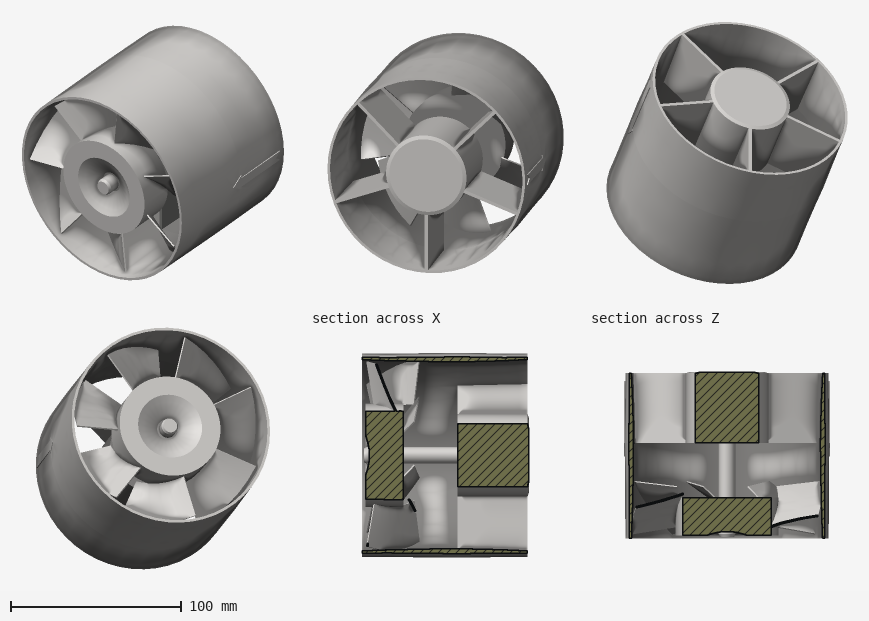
import cadquery as cq
import math


duct_length = 96.8
parting_depth = 55.9
duct_parting_radius = 59.8
duct_end_radius = 59.5
bore_parting_radius = 56.7
bore_end_radius = 57.9

hub_radius = 30.2
hub_front_depth = 1.9
hub_back_depth = 24.1
recess_radius = 19.1
recess_floor_radius = 6.1
recess_floor_depth = 9.4
shaft_radius = 4.9
shaft_tip_radius = 4.1
shaft_tip_depth = 1.1
shaft_chamfer_length = 1.6

motor_radius = 24.2
cap_radius = 22.0
cap_height = 0.7

blade_count = 7
blade_root_radius = 29.9
blade_tip_radius = 55.6
root_lead_angle = 82.0
root_trail_angle = 36.2
root_lead_depth = 6.6
root_trail_depth = 30.1
tip_lead_angle = 80.4
tip_trail_angle = 38.8
tip_lead_depth = 2.4
tip_trail_depth = 33.1
blade_camber = 0.15
blade_thickness = 0.8
blade_pitch = 45
blade_curve_segments = 6

strut_angles = (-90, -20, 45, 135, 200)
strut_thickness = 1.9
strut_overlap = 0.8
strut_root_radius = motor_radius - strut_overlap
strut_tip_radius = bore_end_radius + strut_overlap

arrow_radius = 60.2
arrow_head_length = 7.8
arrow_head_half_width = 4.9
arrow_tail_length = 36.5
arrow_tail_half_width = 3.0
arrow_notch_depth = 4.0
arrow_overlap = 0.5
arrow_base_radius = bore_end_radius + arrow_overlap


def revolve_about_y(points):
    """Revolve a closed (radius, depth) outline about the Y axis."""
    return cq.Workplane("XY").polyline(points).close().revolve(360, (0, 0, 0), (0, 1, 0))


def make_duct():
    return revolve_about_y([
        (bore_end_radius, 0),
        (duct_end_radius, 0),
        (duct_parting_radius, parting_depth),
        (duct_end_radius, duct_length),
        (bore_end_radius, duct_length),
        (bore_parting_radius, parting_depth),
    ])


def make_rotor_hub_and_motor():
    return revolve_about_y([
        (0, shaft_tip_depth),
        (shaft_tip_radius, shaft_tip_depth),
        (shaft_radius, shaft_tip_depth + shaft_chamfer_length),
        (shaft_radius, recess_floor_depth),
        (recess_floor_radius, recess_floor_depth),
        (recess_radius, hub_front_depth),
        (hub_radius, hub_front_depth),
        (hub_radius, hub_back_depth),
        (shaft_radius, hub_back_depth),
        (shaft_radius, parting_depth),
        (motor_radius, parting_depth),
        (motor_radius, duct_length),
        (cap_radius, duct_length + cap_height),
        (0, duct_length + cap_height),
    ])


def blade_curve(radius, lead_angle, trail_angle, lead_depth, trail_depth):
    """Cambered curve on a cylinder, from the leading to the trailing edge of a blade."""
    points = []
    for i in range(blade_curve_segments + 1):
        s = i / blade_curve_segments
        angle = math.radians(lead_angle + s * (trail_angle - lead_angle))
        rise = s * (1 + blade_camber * (1 - s))
        depth = lead_depth + rise * (trail_depth - lead_depth)
        points.append(cq.Vector(radius * math.cos(angle), depth, radius * math.sin(angle)))
    return cq.Edge.makeSpline(points)


def blade_curve_pair(radius, lead_angle, trail_angle, lead_depth, trail_depth):
    """Inlet-side and outlet-side curves, one blade thickness apart across the blade pitch."""
    pitch = math.radians(blade_pitch)
    depth_shift = blade_thickness * math.cos(pitch)
    angle_shift = math.degrees(blade_thickness * math.sin(pitch) / radius)
    inlet_curve = blade_curve(radius, lead_angle, trail_angle, lead_depth, trail_depth)
    outlet_curve = blade_curve(
        radius, lead_angle + angle_shift, trail_angle + angle_shift,
        lead_depth + depth_shift, trail_depth + depth_shift)
    return inlet_curve, outlet_curve


def make_blade():
    """Twisted blade bounded by six ruled faces."""
    root_inlet, root_outlet = blade_curve_pair(
        blade_root_radius, root_lead_angle, root_trail_angle, root_lead_depth, root_trail_depth)
    tip_inlet, tip_outlet = blade_curve_pair(
        blade_tip_radius, tip_lead_angle, tip_trail_angle, tip_lead_depth, tip_trail_depth)
    faces = [
        cq.Face.makeRuledSurface(root_inlet, tip_inlet),
        cq.Face.makeRuledSurface(root_outlet, tip_outlet),
        cq.Face.makeRuledSurface(root_inlet, root_outlet),
        cq.Face.makeRuledSurface(tip_inlet, tip_outlet),
    ]
    for end in (0, 1):
        corners = [curve.positionAt(end) for curve in (root_inlet, tip_inlet, tip_outlet, root_outlet)]
        root_end = cq.Edge.makeLine(corners[0], corners[3])
        tip_end = cq.Edge.makeLine(corners[1], corners[2])
        faces.append(cq.Face.makeRuledSurface(root_end, tip_end))
    return cq.Solid.makeSolid(cq.Shell.makeShell(faces)).fix()


def make_strut(angle):
    return (
        cq.Workplane("XY")
        .box(strut_tip_radius - strut_root_radius, duct_length - parting_depth, strut_thickness,
             centered=(False, False, True))
        .translate((strut_root_radius, parting_depth, 0))
        .rotate((0, 0, 0), (0, 1, 0), -angle)
    )


def make_arrows():
    """Flow arrows pointing to the inlet, with heads based on the parting plane."""
    tail_depth = parting_depth + arrow_tail_length
    outline = [
        (parting_depth - arrow_head_length, 0),
        (parting_depth, arrow_head_half_width),
        (parting_depth, arrow_tail_half_width),
        (tail_depth, arrow_tail_half_width),
        (tail_depth - arrow_notch_depth, 0),
        (tail_depth, -arrow_tail_half_width),
        (parting_depth, -arrow_tail_half_width),
        (parting_depth, -arrow_head_half_width),
    ]
    bars = cq.Workplane("YZ").polyline(outline).close().extrude(arrow_radius, both=True)
    raised_band = (
        cq.Workplane("XZ")
        .circle(arrow_radius)
        .circle(arrow_base_radius)
        .extrude(-duct_length)
    )
    return bars.intersect(raised_band)


result = make_duct().union(make_rotor_hub_and_motor()).union(make_arrows())

for strut_angle in strut_angles:
    result = result.union(make_strut(strut_angle))

blade = make_blade()
for blade_index in range(blade_count):
    turn = blade_index * 360 / blade_count
    result = result.union(cq.Workplane(blade.rotate(cq.Vector(0, 0, 0), cq.Vector(0, 1, 0), turn)))